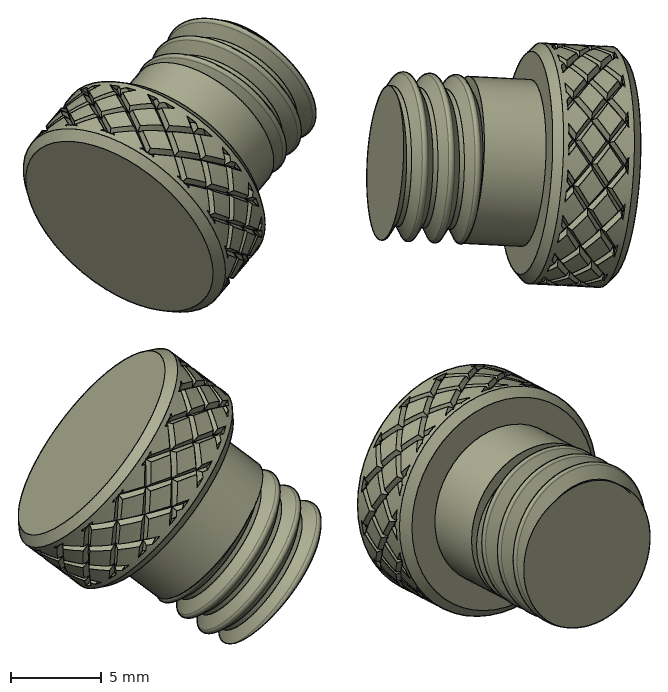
import cadquery as cq
import math


total_length = 13.0
head_length = 5.0
neck_length = 3.5
thread_length = total_length - head_length - neck_length
thread_start = head_length + neck_length

head_diameter = 13.3
neck_diameter = 9.22
thread_root_diameter = 7.74
thread_crest_diameter = 9.34
head_radius = head_diameter / 2
root_radius = thread_root_diameter / 2
crest_radius = thread_crest_diameter / 2

head_chamfer = 0.49

thread_turns = 3
thread_pitch = thread_length / thread_turns
root_flat = 0.28
flank_angle = math.radians(32)
root_overlap = 0.1

groove_count = 16
knurl_margin = 0.8
knurl_length = head_length - 2 * knurl_margin
groove_depth = 0.36
groove_half_width = 0.32
groove_overshoot = 0.13
crossing_spacing = 0.96
first_crossing = 0.43
groove_pitch_angle = 360 / groove_count


def make_head():
    return cq.Workplane("XY").circle(head_radius).extrude(head_length).edges().chamfer(head_chamfer)


def make_neck():
    return cq.Workplane("XY").workplane(offset=head_length).circle(neck_diameter / 2).extrude(neck_length)


def make_thread_ridge():
    """One continuous ridge, a turn longer than needed at each end."""
    slope = math.tan(flank_angle)
    root_half_width = (thread_pitch - root_flat) / 2
    sharp_radius = root_radius + root_half_width / slope
    tip_radius = (sharp_radius - crest_radius) / (1 / math.sin(flank_angle) - 1)
    tip_half_width = tip_radius * math.cos(flank_angle)
    tangent_radius = sharp_radius - tip_half_width / slope

    inner_radius = root_radius - root_overlap
    inner_half_width = root_half_width + root_overlap * slope

    profile = (
        cq.Workplane("XZ")
        .moveTo(inner_radius, -inner_half_width)
        .lineTo(tangent_radius, -tip_half_width)
        .threePointArc((crest_radius, 0), (tangent_radius, tip_half_width))
        .lineTo(inner_radius, inner_half_width)
        .close()
    )
    path = cq.Wire.makeHelix(thread_pitch, thread_length + 2 * thread_pitch, root_radius)
    return profile.sweep(cq.Workplane(path), isFrenet=True)


def make_thread():
    ridge = make_thread_ridge().rotate((0, 0, 0), (0, 0, 1), 90)
    ridge = ridge.translate((0, 0, thread_start - thread_pitch))
    space = cq.Workplane("XY").workplane(offset=thread_start).circle(head_radius).extrude(thread_length)
    core = cq.Workplane("XY").workplane(offset=thread_start).circle(root_radius).extrude(thread_length)
    return core.union(ridge.intersect(space))


def make_groove(direction):
    """One twisted V groove; direction is +1 or -1 for the sense of the twist."""
    degrees_per_length = groove_pitch_angle / 2 / crossing_spacing
    twist = direction * knurl_length * degrees_per_length
    start_angle = 90 - twist + direction * first_crossing * degrees_per_length

    bottom = head_radius - groove_depth
    mouth = head_radius + groove_overshoot
    mouth_half_width = groove_half_width * (mouth - bottom) / groove_depth
    return (
        cq.Workplane("XY")
        .polyline([(bottom, 0), (mouth, -mouth_half_width), (mouth, mouth_half_width)])
        .close()
        .twistExtrude(knurl_length, twist)
        .rotate((0, 0, 0), (0, 0, 1), start_angle)
        .translate((0, 0, knurl_margin))
    )


def cut_knurl(head):
    for direction in (1, -1):
        groove = make_groove(direction)
        for index in range(groove_count):
            head = head.cut(groove.rotate((0, 0, 0), (0, 0, 1), index * groove_pitch_angle))
    return head


screw = cut_knurl(make_head()).union(make_neck()).union(make_thread())

result = screw.rotate((0, 0, 0), (1, 0, 0), -90)